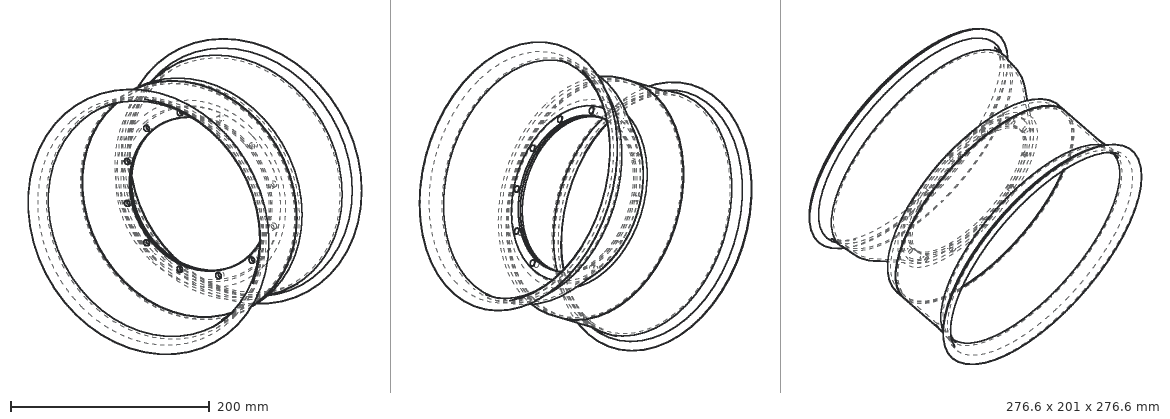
import cadquery as cq
import math


rim_radius = 138.3
half_width = 100.5
wall = 2.63

lip_width = 7.2
lip_roll = lip_width / 2
lip_root_radius = 129.5
lip_throat_radius = 128.5
lip_throat_depth = lip_roll
lip_crown_radius = (rim_radius + lip_throat_radius) / 2
lip_back_bulge = 1.7
throat_land_radius = 127.8
throat_land_depth = 4.7
flare_depth = 13.3
flare_sag = 0.97

seat_radius = 126.5
taper_start_radius = 125.8
barrel_radius = 124.5
front_seat_end = -81.0
front_taper_start = -79.5
front_taper_end = -67.8
front_barrel_end = -65.8
taper_end_radius = 124.7
rear_seat_end = 77.7
rear_taper_start = 76.0
rear_taper_end = 62.2

joint_y = -13.3
joint_width = 0.5
joint_depth = 0.3

shoulder_y = -4.5
shoulder_rise = 5.8
shoulder_inset = 4.0
shoulder_bulge = 1.25
front_cone_end_radius = 97.5
cone_inner_radius = 119.2

rear_shoulder_y = 52.8
rear_shoulder_radius = 121.0
rear_cone_end_radius = 96.0
rear_cone_end_y = 16.0
rear_shoulder_bulge = 0.7
neck_radius = 91.8

flange_plane_y = 11.5
flange_thickness = 2.8
front_bore_radius = 160.5 / 2
rear_bore_radius = 161.2 / 2
front_bend_start = 98.2
front_bend_end = 91.0
rear_bend_end = 90.2
bend_bulge = 0.3
neck_bulge = 0.41

bolt_count = 12
bolt_diameter = 6.4
bolt_circle_radius = 85.5


def bulged_midpoint(start, end, bulge):
    """Point on an arc between two points, offset to the left of the chord."""
    dr = end[0] - start[0]
    dy = end[1] - start[1]
    chord = math.hypot(dr, dy)
    return (
        (start[0] + end[0]) / 2 - bulge * dy / chord,
        (start[1] + end[1]) / 2 + bulge * dr / chord,
    )


def arc_to(sketch, start, end, bulge):
    return sketch.threePointArc(bulged_midpoint(start, end, bulge), end)


def add_lip(sketch, side):
    """Outer flare, rolled lip and inner flare; side is -1 at the front, 1 at the rear."""
    end_y = side * half_width
    seat_y = side * (half_width - flare_depth)
    back_y = side * (half_width - lip_width)
    throat = (lip_throat_radius, side * (half_width - lip_throat_depth))
    throat_land = (throat_land_radius, side * (half_width - throat_land_depth))
    outer_seat = (seat_radius, seat_y)
    inner_seat = (seat_radius - wall, seat_y)
    root = (lip_root_radius, back_y)
    rim_edge = (rim_radius, side * (half_width - lip_roll))
    crown = (lip_crown_radius, end_y)
    sketch = arc_to(sketch, outer_seat, root, side * flare_sag)
    sketch = arc_to(sketch, root, rim_edge, -side * lip_back_bulge)
    sketch = sketch.threePointArc(crown, throat)
    sketch = sketch.lineTo(*throat_land)
    return arc_to(sketch, throat_land, inner_seat, -side * flare_sag)


def revolve_about_axis(sketch):
    return sketch.close().revolve(360, (0, 0, 0), (0, 1, 0))


def make_front_shell():
    shoulder_outer = (barrel_radius, shoulder_y)
    cone_outer = (barrel_radius - shoulder_inset, shoulder_y + shoulder_rise)
    slope = (flange_plane_y - cone_outer[1]) / (cone_outer[0] - front_cone_end_radius)
    cone_drop = wall * math.hypot(1, slope)

    def inner_cone_y(radius):
        return cone_outer[1] + slope * (cone_outer[0] - radius) - cone_drop

    shoulder_inner = (barrel_radius - wall, shoulder_y)
    cone_inner = (cone_inner_radius, inner_cone_y(cone_inner_radius))
    bend_start = (front_bend_start, inner_cone_y(front_bend_start))
    bend_end = (front_bend_end, flange_plane_y - flange_thickness)

    sketch = (
        cq.Workplane("XY")
        .moveTo(front_bore_radius, flange_plane_y)
        .lineTo(front_cone_end_radius, flange_plane_y)
        .lineTo(*cone_outer)
    )
    sketch = arc_to(sketch, cone_outer, shoulder_outer, shoulder_bulge)
    sketch = (
        sketch.lineTo(barrel_radius, front_barrel_end)
        .lineTo(taper_end_radius, front_taper_end)
        .lineTo(taper_start_radius, front_taper_start)
        .lineTo(seat_radius, front_seat_end)
        .lineTo(seat_radius, -half_width + flare_depth)
    )
    sketch = add_lip(sketch, -1)
    sketch = (
        sketch.lineTo(seat_radius - wall, front_seat_end)
        .lineTo(taper_start_radius - wall, front_taper_start)
        .lineTo(taper_end_radius - wall, front_taper_end)
        .lineTo(barrel_radius - wall, front_barrel_end)
        .lineTo(*shoulder_inner)
    )
    sketch = arc_to(sketch, shoulder_inner, cone_inner, -shoulder_bulge / 2)
    sketch = sketch.lineTo(*bend_start)
    sketch = arc_to(sketch, bend_start, bend_end, -bend_bulge)
    sketch = sketch.lineTo(front_bore_radius, bend_end[1])
    return revolve_about_axis(sketch)


def make_rear_shell():
    cone_run = rear_shoulder_y - rear_cone_end_y
    cone_rise = rear_shoulder_radius - rear_cone_end_radius
    cone_length = math.hypot(cone_run, cone_rise)
    inset_r = wall * cone_run / cone_length
    inset_y = wall * cone_rise / cone_length

    barrel_outer = (barrel_radius, rear_taper_end)
    barrel_inner = (barrel_radius - wall, rear_taper_end)
    cone_outer = (rear_shoulder_radius, rear_shoulder_y)
    cone_inner = (rear_shoulder_radius - inset_r, rear_shoulder_y + inset_y)
    bend_outer = (rear_cone_end_radius, rear_cone_end_y)
    bend_inner = (rear_cone_end_radius - inset_r, rear_cone_end_y + inset_y)
    neck = (neck_radius, flange_plane_y)
    flange_inner = (rear_bend_end, flange_plane_y + flange_thickness)

    sketch = cq.Workplane("XY").moveTo(rear_bore_radius, flange_plane_y).lineTo(*neck)
    sketch = arc_to(sketch, neck, bend_outer, -neck_bulge)
    sketch = sketch.lineTo(*cone_outer)
    sketch = arc_to(sketch, cone_outer, barrel_outer, -rear_shoulder_bulge)
    sketch = (
        sketch.lineTo(taper_start_radius, rear_taper_start)
        .lineTo(seat_radius, rear_seat_end)
        .lineTo(seat_radius, half_width - flare_depth)
    )
    sketch = add_lip(sketch, 1)
    sketch = (
        sketch.lineTo(seat_radius - wall, rear_seat_end)
        .lineTo(taper_start_radius - wall, rear_taper_start)
        .lineTo(*barrel_inner)
    )
    sketch = arc_to(sketch, barrel_inner, cone_inner, rear_shoulder_bulge)
    sketch = sketch.lineTo(*bend_inner)
    sketch = arc_to(sketch, bend_inner, flange_inner, bend_bulge)
    sketch = sketch.lineTo(rear_bore_radius, flange_inner[1])
    return revolve_about_axis(sketch)


def make_groove_ring(surface_radius):
    """Ring that cuts joint_depth into the wall on either side of a surface."""
    return (
        cq.Workplane("XZ", origin=(0, joint_y + joint_width / 2, 0))
        .circle(surface_radius + joint_depth)
        .circle(surface_radius - joint_depth)
        .extrude(joint_width)
    )


def make_bolt_holes():
    first_angle = 180 / bolt_count
    return (
        cq.Workplane("XZ", origin=(0, flange_plane_y, 0))
        .polarArray(bolt_circle_radius, first_angle, 360, bolt_count)
        .circle(bolt_diameter / 2)
        .extrude(2 * flange_thickness, both=True)
    )


result = make_front_shell().union(make_rear_shell())
for joint_surface_radius in (barrel_radius, barrel_radius - wall):
    result = result.cut(make_groove_ring(joint_surface_radius))
result = result.cut(make_bolt_holes())